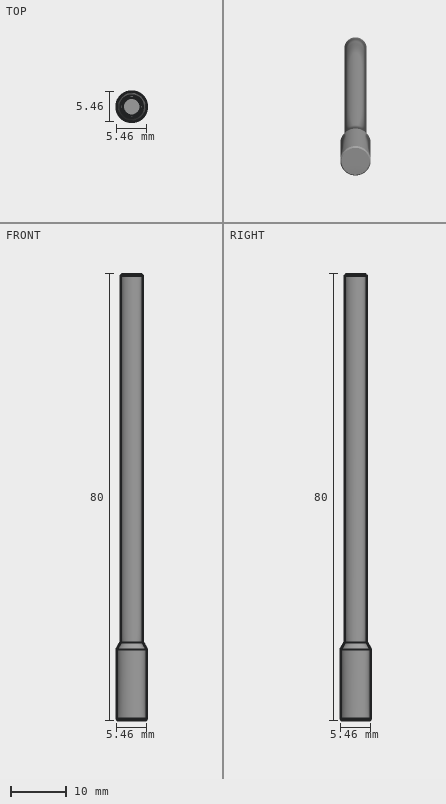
import cadquery as cq
import math

overall_length = 80.0
shank_diameter = 4.0
head_diameter = 5.46
head_length = 14.0
shoulder_half_angle = 30.0
lead_half_angle = 30.0
end_chamfer_height = 0.4

shank_radius = shank_diameter / 2
head_radius = head_diameter / 2
shoulder_length = (head_radius - shank_radius) / math.tan(math.radians(shoulder_half_angle))
lead_depth = end_chamfer_height * math.tan(math.radians(lead_half_angle))
shoulder_start = head_length - shoulder_length


def make_head():
    """Wide head with a steep lead-in chamfer below and a conical shoulder down to the shank diameter."""
    return (
        cq.Workplane("XZ")
        .moveTo(0, 0)
        .lineTo(head_radius - lead_depth, 0)
        .lineTo(head_radius, end_chamfer_height)
        .lineTo(head_radius, shoulder_start)
        .lineTo(shank_radius, head_length)
        .lineTo(0, head_length)
        .close()
        .revolve(360, (0, 0, 0), (0, 1, 0))
    )


def make_shank():
    """Slender round shank standing on the head, with a 45 degree chamfer on the top rim."""
    return (
        cq.Workplane("XY", origin=(0, 0, head_length))
        .circle(shank_radius)
        .extrude(overall_length - head_length)
        .faces(">Z")
        .chamfer(end_chamfer_height)
    )


head = make_head()
shank = make_shank()

result = cq.Compound.makeCompound([head.val(), shank.val()])